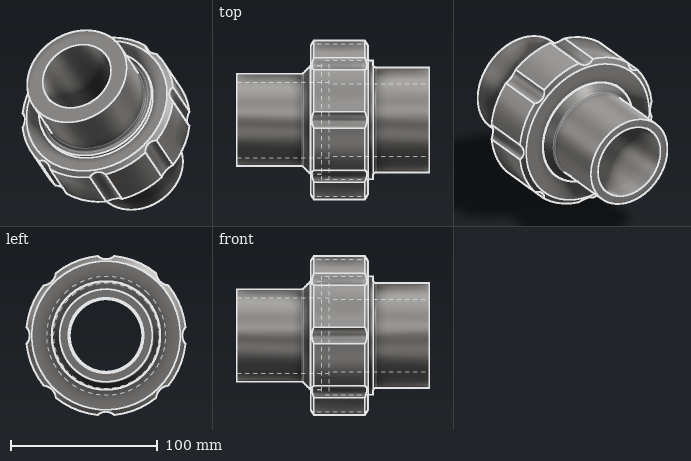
import cadquery as cq
import math

length = 131.1

spigot_diameter = 63.0
spigot_bore = 51.4
neck_diameter = 73.5
cone_end = 50.1
cone_angle_degrees = 45
spigot_root_fillet = 1.7

nut_diameter = 109.0
nut_face_diameter = 101.2
nut_hole_diameter = 74.2
nut_start = 50.3
nut_end = 89.4
nut_chamfer = 2.2
groove_count = 8
groove_radius = 8.7
groove_floor_radius = 52.0

socket_diameter = 71.7
socket_bore = 49.2
collar_diameter = 81.0
collar_end = 92.8
socket_root_fillet = 2.0

lip_thickness = 7.1
flange_thickness = 5.2
joint = nut_start + lip_thickness + flange_thickness


def revolve_about_x(outline):
    """Close a half-section drawn as (x, radius) and revolve it about the X axis."""
    return outline.close().revolve(360, (0, 0, 0), (1, 0, 0))


def make_spigot_end():
    bore_radius = spigot_bore / 2
    pipe_radius = spigot_diameter / 2
    neck_radius = neck_diameter / 2
    flange_radius = collar_diameter / 2
    flange_start = nut_start + lip_thickness
    cone_angle = math.radians(cone_angle_degrees)
    cone_start = cone_end - (neck_radius - pipe_radius) / math.tan(cone_angle)
    tangent_length = spigot_root_fillet * math.tan(cone_angle / 2)
    fillet_end_x = cone_start + tangent_length * math.cos(cone_angle)
    fillet_end_radius = pipe_radius + tangent_length * math.sin(cone_angle)
    outline = (
        cq.Workplane("XY")
        .moveTo(0, bore_radius)
        .lineTo(0, pipe_radius)
        .lineTo(cone_start - tangent_length, pipe_radius)
        .tangentArcPoint((fillet_end_x, fillet_end_radius), relative=False)
        .lineTo(cone_end, neck_radius)
        .lineTo(flange_start, neck_radius)
        .lineTo(flange_start, flange_radius)
        .lineTo(joint, flange_radius)
        .lineTo(joint, bore_radius)
    )
    return revolve_about_x(outline)


def make_socket_end():
    bore_radius = socket_bore / 2
    pipe_radius = socket_diameter / 2
    collar_radius = collar_diameter / 2
    outline = (
        cq.Workplane("XY")
        .moveTo(joint, bore_radius)
        .lineTo(length, bore_radius)
        .lineTo(length, pipe_radius)
        .lineTo(collar_end + socket_root_fillet, pipe_radius)
        .tangentArcPoint((collar_end, pipe_radius + socket_root_fillet), relative=False)
        .lineTo(collar_end, collar_radius)
        .lineTo(joint, collar_radius)
    )
    return revolve_about_x(outline)


def make_nut():
    outer_radius = nut_diameter / 2
    face_radius = nut_face_diameter / 2
    hole_radius = nut_hole_diameter / 2
    thread_radius = collar_diameter / 2
    lip_end = nut_start + lip_thickness
    nut = revolve_about_x(cq.Workplane("XY").polyline([
        (nut_start, hole_radius),
        (nut_start, face_radius),
        (nut_start + nut_chamfer, outer_radius),
        (nut_end - nut_chamfer, outer_radius),
        (nut_end, face_radius),
        (nut_end, thread_radius),
        (lip_end, thread_radius),
        (lip_end, hole_radius),
    ]))
    grooves = (
        cq.Workplane("YZ", origin=(nut_start, 0, 0))
        .polarArray(groove_floor_radius + groove_radius, 0, 360, groove_count)
        .circle(groove_radius)
        .extrude(nut_end - nut_start)
    )
    return nut.cut(grooves)


spigot_end = make_spigot_end()
socket_end = make_socket_end()
union_nut = make_nut()

result = cq.Compound.makeCompound([spigot_end.val(), socket_end.val(), union_nut.val()])